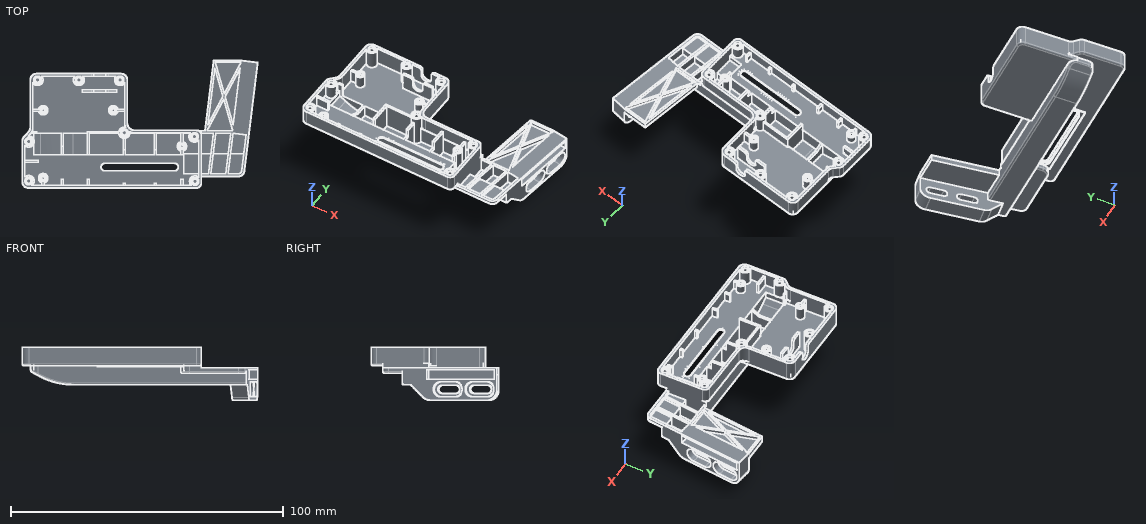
import cadquery as cq
import math


CASE_LENGTH = 65.8
CASE_WIDTH = 21.3
BAY_LEFT = 2.95
BAY_RIGHT = 38.65
BAY_BACK = 42.1
BAY_FRONT = 18.55
BAY_SPLIT = 0.6
SHOULDER_Y = 18.2
CORNER_R = 2.4
RIGHT_CORNER_R = 1.9
BEND_R = 2.6
WALL = 1.0
SKIN = 1.0
CASE_DEPTH = 6.84
BAY_DEPTH = 8.66
BOTTOM_R = 0.7
CASE_FLOOR = -(CASE_DEPTH - SKIN)
BAY_FLOOR = -(BAY_DEPTH - SKIN)

CHANNEL_LEFT = 3.15
CHANNEL_FRONT = 11.4
CHANNEL_BACK = 21.1
CHANNEL_BOTTOM = -13.86
CHANNEL_NOSE_Z = -8.95
CHANNEL_ARC_R = 25.6
CHANNEL_FLAT_X = 18.6
CHANNEL_NOSE_R = 2.6
CHANNEL_WALL_X = 1.05
CHANNEL_WALL = 0.9
POCKET_FRONT = CHANNEL_FRONT + CHANNEL_WALL
POCKET_BACK = CHANNEL_BACK - CHANNEL_WALL
POCKET_FLOOR = CHANNEL_BOTTOM + SKIN

LEAN = 7.0
TAN_LEAN = math.tan(math.radians(LEAN))
ARM_LEFT = 58.2
ARM_FRONT = 4.27
ARM_TOP = -7.57
ARM_BOTTOM = -9.64
ARM_LEFT_R = 3.1
ARM_RIGHT_R = 2.3
ARM_WALL = 1.05
ARM_STEP_Y = 12.55
ARM_FLOOR = ARM_BOTTOM + SKIN
DECK_BACK = 46.94
DECK_LEFT_AT_BACK = 70.25
DECK_BOTTOM = -10.2
DECK_FLOOR = DECK_BOTTOM + SKIN
DECK_WALL_X = 0.85
DECK_WALL_BACK = 0.75
BRACE = 0.75
BRACE_INSET_Y = 1.2
ARM_RIB = 0.85
ARM_RIB_X_AT_BACK = (70.65, 77.0)

FIN_X = 86.52
FIN_Y = 46.15
FIN_THICKNESS = 6.25
FIN_BOTTOM = -19.57
FIN_FRONT = 14.5
FIN_BACK_R = 3.8
FIN_FRONT_R = 4.0
FIN_SLOT_CENTRES = (6.4, 18.15)
FIN_SLOT_LENGTH = 8.05
FIN_SLOT_HEIGHT = 2.95
FIN_SLOT_Z = -15.5
FIN_RECESS_MARGIN = 1.3
FIN_RECESS_DEPTH = 3.0
FIN_WINDOW_TOP = -8.3
FIN_WINDOW_BOTTOM = -11.85
FIN_WINDOW_DEPTH = 5.3
FIN_WINDOW_LENGTH = 24.9

LARGE_BOSS_D = 4.05
LARGE_HOLE_D = 1.78
LARGE_MOUTH_D = 2.8
SMALL_BOSS_D = 3.4
SMALL_HOLE_D = 1.19
SMALL_MOUTH_D = 2.2
LARGE_BOSSES = [
    (2.4, 2.65), (2.4, 17.1), (5.65, 39.75), (20.8, 39.75),
    (35.95, 39.75), (37.5, 20.35), (63.25, 18.95), (63.45, 2.5),
]
SMALL_BOSSES = [(7.7, 3.7), (7.7, 28.6), (33.5, 28.6), (58.65, 15.35)]
LARGE_HOLE_DEPTH = 5.0
SMALL_HOLE_DEPTH = 3.5
SUPPORT_TOP = -2.3
RIB = 0.85
THIN_RIB = 0.6
LIP_Y = 14.1
DIVIDER_X = 24.25
LOW_RIB_X = 14.7
LOW_RIB_BEND_Y = 15.4
CROSS_RIB_X = (37.45, 48.85)
END_RIB_X = 58.65

LONG_STUB_Y = 3.2
SHORT_STUB_Y = 1.9
LEFT_STUB_X = 5.85
LEFT_STUB_Y = 9.9
LEFT_STUB_TOP = -1.5
BAY_STUB_X = 5.3

NOTCH_X = 28.45
NOTCH_R = 2.15
NOTCH_CENTRE_Z = -3.3
NOTCH_LEAD_R = 1.0
CABLE_RIB_X = (22.0, 34.75)
CABLE_RIB_Y = (35.3, 36.15)
CABLE_RIB_TOP = -0.3
SLOT_X = (29.0, 57.25)
SLOT_Y = (6.4, 9.1)
SLOT_PAD_LEFT = 27.6
SLOT_PAD_BOTTOM = -7.28
SLOT_SKIN = 0.45
SLOT_RECESS_MARGIN = 0.8


def block(x, y, z):
    """Box between the given pairs of X, Y and Z limits."""
    size = (x[1] - x[0], y[1] - y[0], z[1] - z[0])
    return cq.Workplane("XY").box(*size, centered=False).translate((x[0], y[0], z[0]))


def prism(points, bottom, top):
    """Vertical prism over a polygon."""
    return cq.Workplane("XY").workplane(offset=bottom).polyline(points).close().extrude(top - bottom)


def cylinder(x, y, diameter, bottom, top):
    return cq.Workplane("XY").workplane(offset=bottom).center(x, y).circle(diameter / 2).extrude(top - bottom)


def fillet_corners(body, corners, z, radius):
    """Round the upright edges nearest to the given plan corners."""
    for x, y in corners:
        body = body.edges("|Z").edges(cq.selectors.NearestToPointSelector((x, y, z))).fillet(radius)
    return body


def case_prism(depth):
    """Full case outline, with rounded corners and bends, from the rim down."""
    left_corners = [(0, 0), (BAY_RIGHT, BAY_BACK), (BAY_LEFT, BAY_BACK), (0, SHOULDER_Y)]
    right_corners = [(CASE_LENGTH, 0), (CASE_LENGTH, CASE_WIDTH)]
    bends = [(BAY_LEFT, CASE_WIDTH), (BAY_RIGHT, CASE_WIDTH)]
    front_left, back_right, back_left, shoulder = left_corners
    outline = [front_left, *right_corners, bends[1], back_right, back_left, bends[0], shoulder]
    body = prism(outline, -depth, 0)
    body = fillet_corners(body, bends, -depth / 2, BEND_R)
    body = fillet_corners(body, left_corners, -depth / 2, CORNER_R)
    return fillet_corners(body, right_corners, -depth / 2, RIGHT_CORNER_R)


def case_shell():
    """Shallow front part with a rounded bottom edge, joined to the deeper bay behind it."""
    split_y = CASE_WIDTH + BAY_SPLIT
    behind = block((0, CASE_LENGTH), (split_y, BAY_BACK), (-CASE_DEPTH, 0))
    front = case_prism(CASE_DEPTH).faces("<Z").edges().fillet(BOTTOM_R).cut(behind)
    back = case_prism(CASE_DEPTH).intersect(behind)
    bay = block((BAY_LEFT, BAY_RIGHT), (BAY_FRONT, BAY_BACK), (-BAY_DEPTH, -CASE_DEPTH))
    bay = bay.edges("|Z and >Y").fillet(CORNER_R).faces("<Z").edges().fillet(BOTTOM_R)
    return front.union(back).union(bay)


def case_cavity():
    outline = case_prism(CASE_DEPTH).faces(">Z").wires().val()
    cavity = cq.Workplane("XY").add(outline.offset2D(-WALL)).toPending().extrude(CASE_FLOOR)
    bay = block((BAY_LEFT + WALL, BAY_RIGHT - WALL), (POCKET_BACK, BAY_BACK - WALL), (BAY_FLOOR, CASE_FLOOR))
    return cavity.union(bay)


def right_edge_x(y):
    """X of the leaning outer face of the fin and arm."""
    return FIN_X - (FIN_Y - y) * TAN_LEAN


def channel_profile(inset_x, skin, top):
    """Boat-nosed side profile: upright nose, straight slope, then a tangent arc into a flat bottom.

    The nose moves in by inset_x, and the slope, arc and bottom move in by skin.
    """
    centre_z = CHANNEL_BOTTOM + CHANNEL_ARC_R
    nose_dx = CHANNEL_FLAT_X - CHANNEL_LEFT
    nose_dz = centre_z - CHANNEL_NOSE_Z
    slope = math.atan2(nose_dx, nose_dz) - math.acos(CHANNEL_ARC_R / math.hypot(nose_dx, nose_dz))
    radius = CHANNEL_ARC_R - skin

    def arc_point(angle):
        return (CHANNEL_FLAT_X - radius * math.sin(angle), centre_z - radius * math.cos(angle))

    left = CHANNEL_LEFT + inset_x
    nose_z = CHANNEL_NOSE_Z - inset_x * math.tan(slope) + skin / math.cos(slope)
    bottom = CHANNEL_BOTTOM + skin
    outline = cq.Workplane("XZ").moveTo(left, top).lineTo(left, nose_z).lineTo(*arc_point(slope))
    outline = outline.threePointArc(arc_point(slope / 2), (CHANNEL_FLAT_X, bottom))
    return outline.lineTo(FIN_X, bottom).lineTo(FIN_X, top).close()


def channel():
    """Boat-shaped body under the case, cut off along the leaning outer face."""
    body = channel_profile(0, 0, CASE_FLOOR).extrude(CHANNEL_FRONT - CHANNEL_BACK)
    body = body.translate((0, CHANNEL_FRONT, 0))
    body = body.edges("|Z").edges("<X").fillet(CHANNEL_NOSE_R)
    body = body.faces("<Z").edges("|X").fillet(BOTTOM_R)
    kept = [(0, 0), (right_edge_x(0), 0), (right_edge_x(DECK_BACK), DECK_BACK), (0, DECK_BACK)]
    above_arm = block((CASE_LENGTH, FIN_X), (0, DECK_BACK), (ARM_TOP, 0))
    return body.intersect(prism(kept, FIN_BOTTOM, 0)).cut(above_arm)


def channel_cavity():
    """Inside of the channel as far as the pocket of the arm."""
    cavity = channel_profile(CHANNEL_WALL_X, SKIN, CASE_FLOOR).extrude(POCKET_FRONT - POCKET_BACK)
    kept = block((0, ARM_LEFT + ARM_WALL), (POCKET_FRONT, POCKET_BACK), (CHANNEL_BOTTOM, CASE_FLOOR))
    return cavity.translate((0, POCKET_FRONT, 0)).intersect(kept)


def arm():
    points = [(ARM_LEFT, ARM_FRONT), (right_edge_x(ARM_FRONT), ARM_FRONT),
              (right_edge_x(CHANNEL_BACK), CHANNEL_BACK), (ARM_LEFT, CHANNEL_BACK)]
    neck = block((ARM_LEFT, CASE_LENGTH), (ARM_FRONT, CHANNEL_BACK), (ARM_TOP, CASE_FLOOR))
    body = prism(points, ARM_BOTTOM, ARM_TOP).union(neck)
    body = fillet_corners(body, points[:1], ARM_TOP, ARM_LEFT_R)
    body = fillet_corners(body, points[1:2], ARM_TOP, ARM_RIGHT_R)
    return body.faces("<Z").edges().fillet(BOTTOM_R)


def arm_cavity():
    """Pocket of the arm: shallow at the front, down to the channel floor behind the step."""
    back = POCKET_BACK
    front = ARM_FRONT + ARM_WALL
    strip_x = right_edge_x(back) - FIN_THICKNESS
    corner_x = right_edge_x(back) - ARM_WALL
    corner_y = back - (corner_x - strip_x) * TAN_LEAN

    def outline(y):
        return [(ARM_LEFT + ARM_WALL, y), (right_edge_x(y) - ARM_WALL, y),
                (right_edge_x(corner_y) - ARM_WALL, corner_y), (strip_x, back), (ARM_LEFT + ARM_WALL, back)]

    shallow = prism(outline(front), ARM_FLOOR, CASE_FLOOR)
    shallow = fillet_corners(shallow, outline(front)[1:2], ARM_FLOOR, ARM_RIGHT_R - ARM_WALL)
    cavity = shallow.union(prism(outline(ARM_STEP_Y), POCKET_FLOOR, CASE_FLOOR))
    end_wall = block((CASE_LENGTH - WALL, CASE_LENGTH), (0, CASE_WIDTH), (FIN_BOTTOM, 0))
    cavity = cavity.cut(end_wall)
    for x in ARM_RIB_X_AT_BACK:
        foot = x - back * TAN_LEAN
        head = foot + DECK_BACK * TAN_LEAN
        rib = [(foot - ARM_RIB / 2, 0), (foot + ARM_RIB / 2, 0),
               (head + ARM_RIB / 2, DECK_BACK), (head - ARM_RIB / 2, DECK_BACK)]
        cavity = cavity.cut(prism(rib, FIN_BOTTOM, 0))
    return cavity


def deck():
    front = POCKET_BACK
    left_front = DECK_LEFT_AT_BACK - (DECK_BACK - front) * TAN_LEAN
    strip_back_x = FIN_X - (DECK_BACK - FIN_Y) / TAN_LEAN
    points = [(left_front, front), (right_edge_x(front), front), (FIN_X, FIN_Y),
              (strip_back_x, DECK_BACK), (DECK_LEFT_AT_BACK, DECK_BACK)]
    return prism(points, DECK_BOTTOM, ARM_TOP)


def bar(start, end, width, bottom, top):
    """Straight bar along a line in plan, run one width past each end."""
    dx = end[0] - start[0]
    dy = end[1] - start[1]
    middle = ((start[0] + end[0]) / 2, (start[1] + end[1]) / 2, (bottom + top) / 2)
    body = cq.Workplane("XY").box(math.hypot(dx, dy) + 2 * width, width, top - bottom)
    return body.rotate((0, 0, 0), (0, 0, 1), math.degrees(math.atan2(dy, dx))).translate(middle)


def deck_cavity():
    """Parallelogram pocket with two crossing braces left standing."""
    back = DECK_BACK - DECK_WALL_BACK
    front = CHANNEL_BACK

    def left(y):
        return DECK_LEFT_AT_BACK - (DECK_BACK - y) * TAN_LEAN + DECK_WALL_X

    def right(y):
        return right_edge_x(y) - FIN_THICKNESS

    corners = [(left(front), front), (right(front), front), (right(back), back), (left(back), back)]
    cavity = prism(corners, DECK_FLOOR, ARM_TOP)
    low = front + BRACE_INSET_Y
    high = back - BRACE_INSET_Y
    for start_side, end_side in ((left, right), (right, left)):
        brace = bar((start_side(low), low), (end_side(high), high), BRACE, DECK_FLOOR, ARM_TOP)
        cavity = cavity.cut(brace)
    return cavity


def place_on_fin(body):
    """Turn a body from the fin's own axes (origin at its back outer corner) into place."""
    return body.rotate((0, 0, 0), (0, 0, 1), -LEAN).translate((FIN_X, FIN_Y, 0))


def fin():
    front = -(FIN_Y - FIN_FRONT) / math.cos(math.radians(LEAN))
    toe = front + CHANNEL_BOTTOM - FIN_BOTTOM
    profile = [(0, ARM_TOP), (0, FIN_BOTTOM), (toe, FIN_BOTTOM), (front, CHANNEL_BOTTOM),
               (front, ARM_TOP)]
    body = cq.Workplane("YZ").polyline(profile).close().extrude(-FIN_THICKNESS)
    body = body.edges("|X").edges(">Y").edges("<Z").fillet(FIN_BACK_R)
    toe_edge = cq.selectors.NearestToPointSelector((-FIN_THICKNESS / 2, toe, FIN_BOTTOM))
    body = body.edges(toe_edge).fillet(FIN_FRONT_R)
    return place_on_fin(body)


def fin_slot(distance, margin, depth):
    """Rounded slot sunk from the outer face of the fin."""
    length = FIN_SLOT_LENGTH + 2 * margin
    height = FIN_SLOT_HEIGHT + 2 * margin
    return cq.Workplane("YZ").center(-distance, FIN_SLOT_Z).slot2D(length, height).extrude(-depth)


def fin_openings():
    """Two adjusting slots with outer recesses, and the window behind the top strip."""
    window_y = (-SKIN - FIN_WINDOW_LENGTH, -SKIN)
    openings = block((-FIN_WINDOW_DEPTH, 0), window_y, (FIN_WINDOW_BOTTOM, FIN_WINDOW_TOP))
    for distance in FIN_SLOT_CENTRES:
        openings = openings.union(fin_slot(distance, 0, FIN_THICKNESS))
        openings = openings.union(fin_slot(distance, FIN_RECESS_MARGIN, FIN_RECESS_DEPTH))
    return place_on_fin(openings)


def rib_x(x, y, bottom, top):
    """Rib running along Y, centred on x."""
    return block((x - RIB / 2, x + RIB / 2), y, (bottom, top))


def rib_y(x, y, bottom, top):
    """Rib running along X, centred on y."""
    return block(x, (y - RIB / 2, y + RIB / 2), (bottom, top))


def channel_ribs():
    """Ribs standing in the channel; the cross ribs step down to the case floor at the front."""
    wall_y = CASE_WIDTH - WALL / 2
    thin_y = (POCKET_BACK, POCKET_BACK + THIN_RIB)
    parts = []
    for x in CROSS_RIB_X:
        parts.append(rib_x(x, (LIP_Y, wall_y), POCKET_FLOOR, SUPPORT_TOP))
        parts.append(rib_x(x, (POCKET_FRONT, LIP_Y), POCKET_FLOOR, CASE_FLOOR))
    parts.append(rib_x(END_RIB_X, (POCKET_FRONT, wall_y), POCKET_FLOOR, SUPPORT_TOP))
    parts.append(rib_x(DIVIDER_X, (POCKET_FRONT, thin_y[1]), POCKET_FLOOR, SUPPORT_TOP))
    parts.append(block((DIVIDER_X - RIB / 2, CROSS_RIB_X[0]), thin_y, (BAY_FLOOR, SUPPORT_TOP)))
    parts.append(block((BAY_LEFT, BAY_STUB_X), thin_y, (BAY_FLOOR, SUPPORT_TOP)))
    return parts


def low_rib():
    """Rib across the sloping nose of the channel, ramping up to the case floor."""
    profile = [(POCKET_FRONT, POCKET_FLOOR), (POCKET_BACK, POCKET_FLOOR), (POCKET_BACK, BAY_FLOOR),
               (LOW_RIB_BEND_Y, BAY_FLOOR), (POCKET_FRONT, CASE_FLOOR)]
    return cq.Workplane("YZ").polyline(profile).close().extrude(RIB).translate((LOW_RIB_X - RIB / 2, 0, 0))


def wall_ribs():
    """Stub ribs on the front and left walls, and ribs tying the small bosses to the walls."""
    inside = WALL / 2
    front_boss, left_boss, right_boss = SMALL_BOSSES[:3]
    parts = [rib_x(front_boss[0], (inside, front_boss[1]), CASE_FLOOR, SUPPORT_TOP)]
    parts.append(rib_y((BAY_LEFT + inside, left_boss[0]), left_boss[1], BAY_FLOOR, SUPPORT_TOP))
    parts.append(rib_y((right_boss[0], BAY_RIGHT - inside), right_boss[1], BAY_FLOOR, SUPPORT_TOP))
    for x in (LOW_RIB_X, DIVIDER_X, END_RIB_X):
        parts.append(rib_x(x, (inside, LONG_STUB_Y), CASE_FLOOR, SUPPORT_TOP))
    for x in CROSS_RIB_X:
        parts.append(rib_x(x, (inside, SHORT_STUB_Y), CASE_FLOOR, SUPPORT_TOP))
    parts.append(rib_y((inside, LEFT_STUB_X), LEFT_STUB_Y, CASE_FLOOR, LEFT_STUB_TOP))
    return parts


def cable_rib():
    return block(CABLE_RIB_X, CABLE_RIB_Y, (BAY_FLOOR, CABLE_RIB_TOP))


def cable_notch(y, top):
    """Round-bottomed notch with rounded lead-in at its mouth, cut along Y down from a top edge."""
    lead = NOTCH_R + NOTCH_LEAD_R
    notch = (
        cq.Workplane("XZ").moveTo(NOTCH_X - lead, top)
        .radiusArc((NOTCH_X - NOTCH_R, top - NOTCH_LEAD_R), NOTCH_LEAD_R)
        .lineTo(NOTCH_X - NOTCH_R, NOTCH_CENTRE_Z)
        .threePointArc((NOTCH_X, NOTCH_CENTRE_Z - NOTCH_R), (NOTCH_X + NOTCH_R, NOTCH_CENTRE_Z))
        .lineTo(NOTCH_X + NOTCH_R, top - NOTCH_LEAD_R)
        .radiusArc((NOTCH_X + lead, top), NOTCH_LEAD_R)
        .close().extrude(y[0] - y[1])
    )
    return notch.translate((0, y[0], 0))


def slot_pad():
    """Thicker pad under the floor, between the arm and the channel, that carries the slot."""
    pad_x = (SLOT_PAD_LEFT, ARM_LEFT + ARM_WALL)
    return block(pad_x, (ARM_FRONT, POCKET_FRONT), (SLOT_PAD_BOTTOM, CASE_FLOOR))


def floor_slot():
    """Rounded slot through the floor with a wider recess below it."""
    length = SLOT_X[1] - SLOT_X[0]
    width = SLOT_Y[1] - SLOT_Y[0]
    centre = (sum(SLOT_X) / 2, sum(SLOT_Y) / 2)
    extra = 2 * SLOT_RECESS_MARGIN
    plane = cq.Workplane("XY").workplane(offset=SLOT_PAD_BOTTOM).center(*centre)
    slot = plane.slot2D(length, width).extrude(-SLOT_PAD_BOTTOM)
    recess = plane.slot2D(length + extra, width + extra).extrude(CASE_FLOOR - SLOT_SKIN - SLOT_PAD_BOTTOM)
    return slot.union(recess)


def boss_foot(x, y):
    """Floor level below a boss."""
    if y > CHANNEL_BACK:
        return BAY_FLOOR
    if y > CHANNEL_FRONT and x > CHANNEL_FLAT_X:
        return POCKET_FLOOR
    return CASE_FLOOR


def screw_hole(x, y, hole, mouth, depth, top):
    """Blind hole with a conical mouth."""
    mouth_depth = (mouth - hole) / 2
    cone = cq.Workplane("XY").workplane(offset=top - mouth_depth).center(x, y).circle(hole / 2)
    cone = cone.workplane(offset=mouth_depth).circle(mouth / 2).loft()
    return cylinder(x, y, hole, top - depth, top).union(cone)


def large_hole(x, y):
    return screw_hole(x, y, LARGE_HOLE_D, LARGE_MOUTH_D, LARGE_HOLE_DEPTH, 0)


def small_hole(x, y):
    return screw_hole(x, y, SMALL_HOLE_D, SMALL_MOUTH_D, SMALL_HOLE_DEPTH, SUPPORT_TOP)


def join(body, parts):
    for part in parts:
        body = body.union(part)
    return body


def remove(body, parts):
    for part in parts:
        body = body.cut(part)
    return body


envelope = join(case_shell(), [channel(), arm(), deck(), fin(), slot_pad()])
large_bosses = [cylinder(x, y, LARGE_BOSS_D, boss_foot(x, y), 0).intersect(envelope) for x, y in LARGE_BOSSES]
small_bosses = [cylinder(x, y, SMALL_BOSS_D, boss_foot(x, y), SUPPORT_TOP) for x, y in SMALL_BOSSES]
holes = [large_hole(x, y) for x, y in LARGE_BOSSES] + [small_hole(x, y) for x, y in SMALL_BOSSES]
notches = [cable_notch((BAY_BACK - WALL, BAY_BACK), 0), cable_notch(CABLE_RIB_Y, CABLE_RIB_TOP)]

result = remove(envelope, [case_cavity(), channel_cavity(), arm_cavity(), deck_cavity(), fin_openings()])
result = join(result, channel_ribs() + wall_ribs() + [low_rib(), cable_rib()])
result = join(result, large_bosses + small_bosses)
result = remove(result, holes + notches + [floor_slot()])